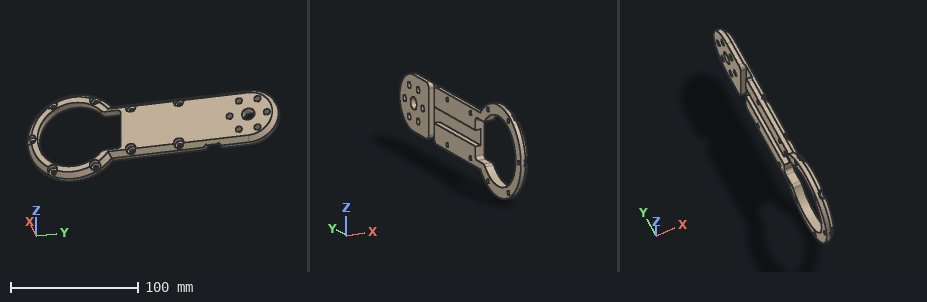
import cadquery as cq
import math

length = 202.1
thickness = 8.0
edge_chamfer = 4.0

ring_radius = 38.0
bore_radius = 29.0
ring_hole_circle = 34.2
ring_hole_angles = (-120, -60, 0, 60, 120)

arm_half_width = 23.5
mount_y = length - ring_radius - arm_half_width
mount_hole_circle = 15.0
mount_hole_count = 6
mount_hole_diameter = 5.0
shaft_hole_diameter = 10.1

window_end_y = 38.0
window_half_width = 17.4
window_corner_radius = 3.0
window_mouth_radius = 4.0

recess_depth = 5.0
cross_slot_start_y = 106.7
cross_slot_width = 8.9
cross_slot_end_y = cross_slot_start_y + cross_slot_width
slot_corner_radius = 4.0
channel_width = 13.3

screw_diameter = 3.5
head_diameter = 7.9
head_depth = 4.9
arm_screw_ys = (46.0, 84.7)
arm_screw_z = 18.5


def box(x_range, y_range, z_range):
    """Axis-aligned box between pairs of limits."""
    limits = (x_range, y_range, z_range)
    size = [high - low for low, high in limits]
    corner = cq.Vector(*[low for low, high in limits])
    return cq.Workplane("XY").box(*size, centered=False).translate(corner)


def rod(diameter, y, z, x_start=0.0):
    """Cylinder along X from x_start to the +X face."""
    return (
        cq.Workplane("YZ", origin=(x_start, y, z))
        .circle(diameter / 2)
        .extrude(thickness - x_start)
    )


def make_plate():
    """Arm, rounded end and ring, chamfered all round on the +X face."""
    neck_y = math.sqrt(ring_radius**2 - arm_half_width**2)
    outline = (
        cq.Workplane("YZ")
        .moveTo(neck_y, -arm_half_width)
        .lineTo(mount_y, -arm_half_width)
        .threePointArc((mount_y + arm_half_width, 0), (mount_y, arm_half_width))
        .lineTo(neck_y, arm_half_width)
        .threePointArc((-ring_radius, 0), (neck_y, -arm_half_width))
        .close()
    )
    return outline.extrude(thickness).faces(">X").edges().chamfer(edge_chamfer)


def make_opening():
    """Round bore joined to the rectangular window, with rounded corners."""
    bore = rod(2 * bore_radius, 0, 0)
    window = box((0, thickness), (0, window_end_y), (-window_half_width, window_half_width))
    window = window.edges("|X and >Y").fillet(window_corner_radius)
    return bore.union(window).edges("|X").edges("<Y").fillet(window_mouth_radius)


def make_cross_slot():
    """Slot across the arm whose four ends flare out through rounded corners."""
    z_end = arm_half_width
    low = cross_slot_start_y
    high = cross_slot_end_y
    r = slot_corner_radius
    bend = r * (1 - math.cos(math.pi / 4))
    return (
        cq.Workplane("YZ")
        .moveTo(low - r, -z_end)
        .lineTo(high + r, -z_end)
        .threePointArc((high + bend, -z_end + bend), (high, -z_end + r))
        .lineTo(high, z_end - r)
        .threePointArc((high + bend, z_end - bend), (high + r, z_end))
        .lineTo(low - r, z_end)
        .threePointArc((low - bend, z_end - bend), (low, z_end - r))
        .lineTo(low, -z_end + r)
        .threePointArc((low - bend, -z_end + bend), (low - r, -z_end))
        .close()
        .extrude(recess_depth)
    )


def make_channel():
    """Central channel from the opening to the cross slot."""
    half = channel_width / 2
    return box((0, recess_depth), (bore_radius, cross_slot_end_y), (-half, half))


def circle_point(radius, angle):
    """Y and Z offsets of a point on a circle, with zero angle toward -Y."""
    turn = math.radians(angle)
    return -radius * math.cos(turn), radius * math.sin(turn)


def screw_hole(y, z):
    """Through hole with a counterbore from the +X face."""
    return rod(screw_diameter, y, z).union(rod(head_diameter, y, z, thickness - head_depth))


result = make_plate().cut(make_opening()).cut(make_cross_slot()).cut(make_channel())

for angle in ring_hole_angles:
    result = result.cut(screw_hole(*circle_point(ring_hole_circle, angle)))

for screw_y in arm_screw_ys:
    for screw_z in (-arm_screw_z, arm_screw_z):
        result = result.cut(screw_hole(screw_y, screw_z))

result = result.cut(rod(shaft_hole_diameter, mount_y, 0))
for i in range(mount_hole_count):
    dy, dz = circle_point(mount_hole_circle, 360 / mount_hole_count * i)
    result = result.cut(rod(mount_hole_diameter, mount_y + dy, dz))